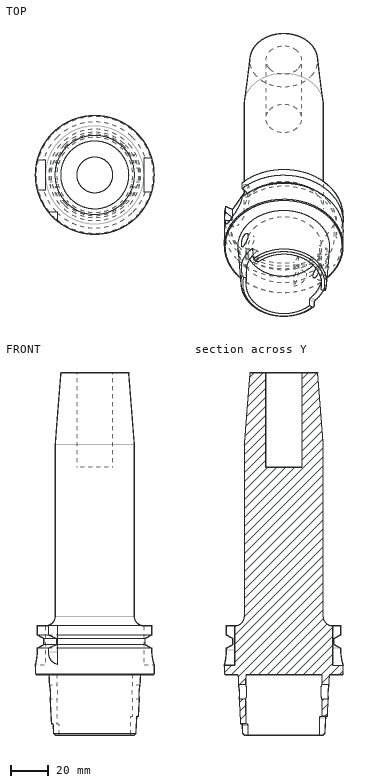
import math

import cadquery as cq


total_reach = 160.0
tip_diameter = 36.0
neck_diameter = 42.0
nose_taper_length = 38.1
tool_bore_diameter = 19.0
tool_bore_depth = 50.0
neck_fillet = 5.0

flange_diameter = 63.0
flange_height = 26.0
flange_edge_chamfer = 0.5
groove_diameter = 56.4
groove_center_z = 17.6
groove_floor_width = 3.2
groove_flank_angle = 30.0

shank_length = 32.0
shank_top_diameter = 48.6
shank_taper = 0.1
shank_end_chamfer = 1.0
shank_bore_diameter = 40.0

slot_floor_distance = 26.0
slot_bottom_z = 5.1
left_slot_width = 16.0
right_slot_width = 18.0

notch_corner = 19.75
notch_end_radius = 7.0
notch_end_z = 12.2

keyway_width = 12.5
left_keyway_depth = 6.0
right_keyway_depth = 10.0
keyway_corner_radius = 0.8
cross_hole_diameter = 7.5
cross_hole_z = -9.0

flange_radius = flange_diameter / 2
neck_radius = neck_diameter / 2
clearance = 5.0


def turned_body():
    """Everything that is round about Z, revolved from one half profile."""
    shank_top_radius = shank_top_diameter / 2
    shank_end_radius = shank_top_radius - shank_taper * shank_length / 2
    groove_radius = groove_diameter / 2
    groove_bottom_z = groove_center_z - groove_floor_width / 2
    groove_top_z = groove_center_z + groove_floor_width / 2
    groove_flare = (flange_radius - groove_radius) * math.tan(math.radians(groove_flank_angle))
    fillet_middle = neck_fillet * (1 - math.cos(math.radians(45)))
    profile = (
        cq.Workplane("XZ")
        .moveTo(0, -shank_length)
        .lineTo(shank_end_radius - shank_end_chamfer, -shank_length)
        .lineTo(shank_end_radius, -shank_length + shank_end_chamfer)
        .lineTo(shank_top_radius, 0)
        .lineTo(flange_radius - flange_edge_chamfer, 0)
        .lineTo(flange_radius, flange_edge_chamfer)
        .lineTo(flange_radius, groove_bottom_z - groove_flare)
        .lineTo(groove_radius, groove_bottom_z)
        .lineTo(groove_radius, groove_top_z)
        .lineTo(flange_radius, groove_top_z + groove_flare)
        .lineTo(flange_radius, flange_height)
        .lineTo(neck_radius + neck_fillet, flange_height)
        .threePointArc(
            (neck_radius + fillet_middle, flange_height + fillet_middle),
            (neck_radius, flange_height + neck_fillet),
        )
        .lineTo(neck_radius, total_reach - nose_taper_length)
        .lineTo(tip_diameter / 2, total_reach)
        .lineTo(0, total_reach)
        .close()
    )
    return profile.revolve(360, (0, 0, 0), (0, 1, 0))


def tool_bore():
    """Blind bore in the nose."""
    floor = cq.Workplane("XY").workplane(offset=total_reach - tool_bore_depth)
    return floor.circle(tool_bore_diameter / 2).extrude(tool_bore_depth)


def shank_bore():
    """Bore that makes the shank hollow up to the flange face."""
    end_face = cq.Workplane("XY").workplane(offset=-shank_length)
    return end_face.circle(shank_bore_diameter / 2).extrude(shank_length)


def round_ended_slot(center_y, radius, end_center_z, floor_distance):
    """Cutter on the +X side: open upward, half-round at the bottom, flat floor."""
    length = flange_radius + clearance - floor_distance
    top_z = flange_height + clearance
    return (
        cq.Workplane("YZ")
        .workplane(offset=floor_distance)
        .moveTo(center_y - radius, top_z)
        .lineTo(center_y - radius, end_center_z)
        .threePointArc((center_y, end_center_z - radius), (center_y + radius, end_center_z))
        .lineTo(center_y + radius, top_z)
        .close()
        .extrude(length)
    )


def drive_slot(width):
    """Flange drive slot on the +X side."""
    radius = width / 2
    return round_ended_slot(0, radius, slot_bottom_z + radius, slot_floor_distance)


def orientation_notch():
    """Corner notch at -X, -Y, made like a drive slot that breaks out of the rim."""
    center_y = -notch_corner - notch_end_radius
    notch = round_ended_slot(center_y, notch_end_radius, notch_end_z, notch_corner)
    return notch.mirror("YZ")


def keyway(depth):
    """Drive keyway across the +X half of the shank end, with rounded inner corners."""
    length = shank_top_diameter / 2
    return (
        cq.Workplane("XY")
        .workplane(offset=-shank_length)
        .center(length / 2, 0)
        .rect(length, keyway_width)
        .extrude(depth)
        .edges("|X and >Z")
        .fillet(keyway_corner_radius)
    )


def cross_hole():
    """Round hole through the shank along X."""
    plane = cq.Workplane("YZ").center(0, cross_hole_z)
    return plane.circle(cross_hole_diameter / 2).extrude(shank_top_diameter / 2 + clearance, both=True)


result = (
    turned_body()
    .cut(tool_bore())
    .cut(shank_bore())
    .cut(drive_slot(right_slot_width))
    .cut(drive_slot(left_slot_width).mirror("YZ"))
    .cut(orientation_notch())
    .cut(keyway(right_keyway_depth))
    .cut(keyway(left_keyway_depth).mirror("YZ"))
    .cut(cross_hole())
)